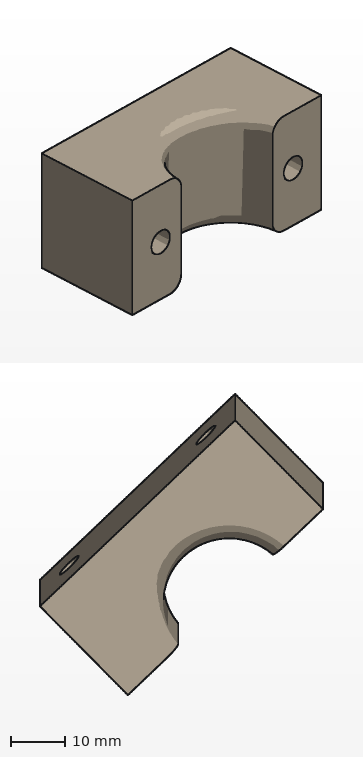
import cadquery as cq

width = 23.2
length = 50
height = 25

bore_radius = 12.1
bore_axis_beyond_face = 1
lip_radius = 3

hole_diameter = 4.9
hole_spacing = 35

bore_axis_x = width / 2 + bore_axis_beyond_face


def make_block():
    return cq.Workplane("XY").box(width, length, height)


def make_bore_cutter():
    """Revolved cutter whose ends flare out to round the top and bottom lips."""
    half_height = height / 2
    mouth_radius = bore_radius + lip_radius
    lip_start = half_height - lip_radius
    arc_offset = lip_radius * (1 - 0.5 ** 0.5)
    arc_mid_radius = bore_radius + arc_offset
    arc_mid_z = half_height - arc_offset
    profile = (
        cq.Workplane("XZ")
        .moveTo(0, -half_height)
        .lineTo(mouth_radius, -half_height)
        .threePointArc((arc_mid_radius, -arc_mid_z), (bore_radius, -lip_start))
        .lineTo(bore_radius, lip_start)
        .threePointArc((arc_mid_radius, arc_mid_z), (mouth_radius, half_height))
        .lineTo(0, half_height)
        .close()
    )
    cutter = profile.revolve(360, (0, 0, 0), (0, 1, 0))
    return cutter.translate((bore_axis_x, 0, 0))


def make_hole_cutters():
    """Two cylinders running through the full width of the block."""
    return (
        cq.Workplane("YZ", origin=(-width / 2, 0, 0))
        .pushPoints([(-hole_spacing / 2, 0), (hole_spacing / 2, 0)])
        .circle(hole_diameter / 2)
        .extrude(width)
    )


result = make_block().cut(make_bore_cutter()).cut(make_hole_cutters())